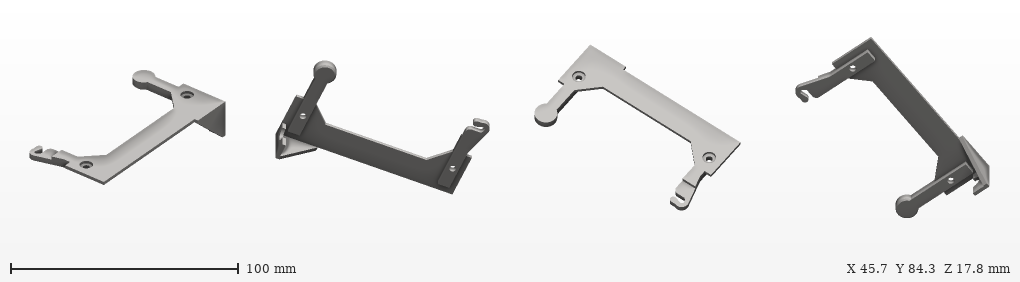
import cadquery as cq
import math


plate_length = 83.8
plate_width = 21.6
plate_thickness = 1.6
recess_depth = 8.9

arm_width = 5.5
arm_depth = 2.6
arm_inset = 6.15
rib_end_x = 17.1
hook_arm_y = arm_inset
bulb_arm_y = plate_length - arm_inset
arm_height = plate_thickness + arm_depth

bulb_diameter = 10.0
bulb_x = -17.2
bulb_chamfer = 0.7

hook_step_x = -9.0
hook_center = (-17.95, 2.7)
hook_radius = 3.2
hook_slope = math.radians(15.7)
bend_radius = 4.6
slot_wall_x = -15.8
shoulder_radius = 2.3
tip_center = (-19.4, 6.19)
tip_radius = 1.475
slot_wall_end = (slot_wall_x, 2.7)
slot_bottom_mid = (-16.6, 1.9)
slot_bottom = (-17.6, 1.56)
slot_corner_mid = (-18.6, 1.73)
slot_corner_end = (-19.0, 2.5)
neck_end = (-18.0, 5.6)

hole_x = 6.9
hole_diameter = 3.0
counterbore_diameter = 6.0
counterbore_depth = 1.3

total_height = 17.8
bracket_bottom = plate_thickness - total_height
end_wall_x = 15.5
end_wall_thickness = 1.6
gusset_thickness = 1.9
gusset_length = 19.5
gusset_foot = 1.9
notch_radius = 3.5
notch_z = -7.25


def make_plate():
    arm_inner = arm_inset + arm_width / 2
    return (
        cq.Workplane("XY")
        .polyline([
            (0, 0),
            (plate_width, 0),
            (plate_width, plate_length),
            (0, plate_length),
            (0, plate_length - arm_inner),
            (recess_depth, plate_length - arm_inner - recess_depth),
            (recess_depth, arm_inner + recess_depth),
            (0, arm_inner),
        ])
        .close()
        .extrude(plate_thickness)
    )


def make_bar(start_x, end_x, center_y, bottom, height):
    return cq.Workplane("XY").box(
        end_x - start_x, arm_width, height, centered=(False, True, False)
    ).translate((start_x, center_y, bottom))


def make_bulb_arm():
    bulb = (
        cq.Workplane("XY", origin=(bulb_x, bulb_arm_y, -arm_depth))
        .circle(bulb_diameter / 2)
        .extrude(arm_height)
        .faces("<Z")
        .chamfer(bulb_chamfer)
    )
    beam = make_bar(bulb_x, 0, bulb_arm_y, -arm_depth, arm_height)
    rib = make_bar(0, rib_end_x, bulb_arm_y, -arm_depth, arm_depth)
    return bulb.union(beam).union(rib)


def make_hook_arm():
    arm_low_y = hook_arm_y - arm_width / 2
    arm_high_y = hook_arm_y + arm_width / 2
    center_x, center_y = hook_center

    tangent = (
        center_x + hook_radius * math.sin(hook_slope),
        center_y - hook_radius * math.cos(hook_slope),
    )
    bend_x = tangent[0] + (arm_low_y - tangent[1]) / math.tan(hook_slope)

    finger_x = tip_center[0] - tip_radius
    finger_y = center_y + math.sqrt(hook_radius**2 - (finger_x - center_x)**2)
    outer_angle = math.radians(225)
    outer_mid = (
        center_x + hook_radius * math.cos(outer_angle),
        center_y + hook_radius * math.sin(outer_angle),
    )

    bend_edge = cq.selectors.NearestToPointSelector((bend_x, arm_low_y, arm_height / 2 - arm_depth))
    body = (
        cq.Workplane("XY", origin=(0, 0, -arm_depth))
        .moveTo(0, arm_high_y)
        .lineTo(slot_wall_x + shoulder_radius, arm_high_y)
        .radiusArc((slot_wall_x, arm_high_y - shoulder_radius), -shoulder_radius)
        .lineTo(*slot_wall_end)
        .threePointArc(slot_bottom_mid, slot_bottom)
        .threePointArc(slot_corner_mid, slot_corner_end)
        .lineTo(*neck_end)
        .threePointArc((tip_center[0], tip_center[1] + tip_radius), (finger_x, tip_center[1]))
        .lineTo(finger_x, finger_y)
        .threePointArc(outer_mid, tangent)
        .lineTo(bend_x, arm_low_y)
        .lineTo(0, arm_low_y)
        .close()
        .extrude(arm_height)
        .edges(bend_edge)
        .fillet(bend_radius)
    )
    step_length = 2 * abs(hook_step_x)
    step_cut = cq.Workplane("XY").box(
        step_length, plate_length, plate_thickness, centered=(False, True, False)
    ).translate((hook_step_x - step_length, 0, 0))
    rib = make_bar(0, rib_end_x, hook_arm_y, -arm_depth, arm_depth)
    return body.cut(step_cut).union(rib)


def make_bracket():
    outer_x = plate_width + gusset_thickness
    end_wall = (
        cq.Workplane("XY")
        .box(outer_x - end_wall_x, end_wall_thickness, -bracket_bottom, centered=False)
        .translate((end_wall_x, plate_length - end_wall_thickness, bracket_bottom))
    )
    notch = (
        cq.Workplane("XZ", origin=(end_wall_x, plate_length, notch_z))
        .circle(notch_radius)
        .extrude(end_wall_thickness)
    )
    gusset = (
        cq.Workplane("YZ", origin=(plate_width, 0, 0))
        .polyline([
            (plate_length, plate_thickness),
            (plate_length - gusset_length, plate_thickness),
            (plate_length - gusset_length, 0),
            (plate_length - gusset_foot, bracket_bottom),
            (plate_length, bracket_bottom),
        ])
        .close()
        .extrude(gusset_thickness)
    )
    return end_wall.cut(notch).union(gusset)


def drill_holes(body):
    return (
        body.copyWorkplane(cq.Workplane("XY", origin=(0, 0, plate_thickness)))
        .pushPoints([(hole_x, hook_arm_y), (hole_x, bulb_arm_y)])
        .cboreHole(hole_diameter, counterbore_diameter, counterbore_depth)
    )


frame = make_plate().union(make_bulb_arm()).union(make_hook_arm()).union(make_bracket())
result = drill_holes(frame)